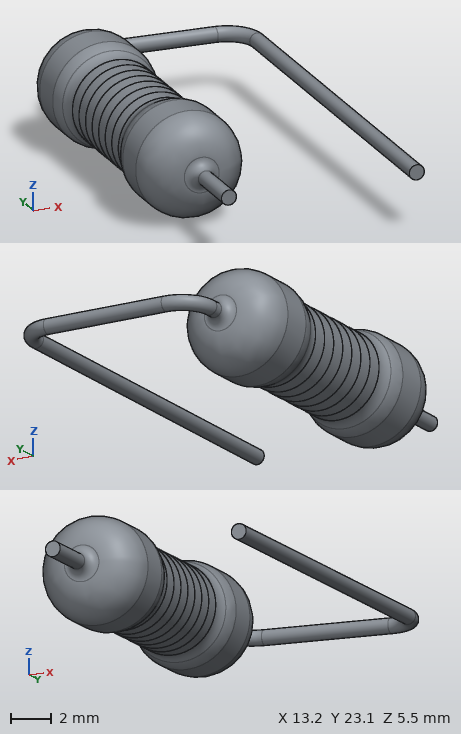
import cadquery as cq
import math


lead_radius = 0.4
lead_pitch = 10.0
bend_radius = 4 * lead_radius
lead_top_y = 22.7
bend_start_y = lead_top_y - bend_radius

body_length = 16.5
body_center_y = 11.85
cap_radius = 2.75
dome_radius = 1.9
lead_fillet_radius = 0.55
neck_length = 1.6

waist_radius = 4.67 / 2
band_radius = 4.7 / 2
band_count = 4
segment_count = 2 * band_count - 1
segment_length = 0.866
waist_half_length = segment_count * segment_length / 2


def point_on_circle(center, radius, angle):
    """Point at the given angle, measured in radians from the radial direction."""
    return (center[0] + radius * math.cos(angle), center[1] + radius * math.sin(angle))


def make_body_end():
    """End of the body on +Y: flared neck, cap, domed end and meniscus on the lead."""
    neck_rise = cap_radius - waist_radius
    neck_arc_radius = (neck_length**2 + neck_rise**2) / (4 * neck_rise)
    neck_half_angle = math.asin(neck_length / 2 / neck_arc_radius) / 2
    neck_end = waist_half_length + neck_length
    neck_middle = (waist_radius + neck_rise / 2, waist_half_length + neck_length / 2)
    concave_center = (waist_radius + neck_arc_radius, waist_half_length)
    convex_center = (cap_radius - neck_arc_radius, neck_end)
    concave_middle = point_on_circle(concave_center, neck_arc_radius, math.pi - neck_half_angle)
    convex_middle = point_on_circle(convex_center, neck_arc_radius, -neck_half_angle)

    dome_center = (cap_radius - dome_radius, body_length / 2 - dome_radius)
    fillet_center_radius = lead_radius + lead_fillet_radius
    center_distance = dome_radius + lead_fillet_radius
    contact_angle = math.acos((fillet_center_radius - dome_center[0]) / center_distance)
    fillet_center = point_on_circle(dome_center, center_distance, contact_angle)
    contact = point_on_circle(dome_center, dome_radius, contact_angle)
    dome_middle = point_on_circle(dome_center, dome_radius, contact_angle / 2)
    fillet_middle = point_on_circle(fillet_center, lead_fillet_radius, math.pi + contact_angle / 2)

    return (
        cq.Workplane("XY")
        .moveTo(0, waist_half_length)
        .lineTo(waist_radius, waist_half_length)
        .threePointArc(concave_middle, neck_middle)
        .threePointArc(convex_middle, (cap_radius, neck_end))
        .lineTo(cap_radius, dome_center[1])
        .threePointArc(dome_middle, contact)
        .threePointArc(fillet_middle, (lead_radius, fillet_center[1]))
        .lineTo(0, fillet_center[1])
        .close()
        .revolve(360, (0, 0, 0), (0, 1, 0))
    )


def make_disc(radius, start_y, length):
    """Cylinder on the body axis, running toward +Y from start_y."""
    return cq.Workplane("XZ", origin=(0, start_y, 0)).circle(radius).extrude(-length)


def make_body():
    body_end = make_body_end()
    body = make_disc(waist_radius, -waist_half_length, 2 * waist_half_length)
    body = body.union(body_end).union(body_end.mirror("XZ"))
    for index in range(0, segment_count, 2):
        band_start = -waist_half_length + index * segment_length
        body = body.union(make_disc(band_radius, band_start, segment_length))
    return body.translate((0, body_center_y, 0))


def make_lead():
    """Single wire through the body, turning twice to run back down at the lead pitch."""
    bend_inset = bend_radius * (1 - math.sqrt(0.5))
    path = (
        cq.Workplane("XY")
        .lineTo(0, bend_start_y)
        .threePointArc((bend_inset, lead_top_y - bend_inset), (bend_radius, lead_top_y))
        .lineTo(lead_pitch - bend_radius, lead_top_y)
        .threePointArc((lead_pitch - bend_inset, lead_top_y - bend_inset), (lead_pitch, bend_start_y))
        .lineTo(lead_pitch, 0)
    )
    return cq.Workplane("XZ").circle(lead_radius).sweep(path)


result = make_body().union(make_lead())